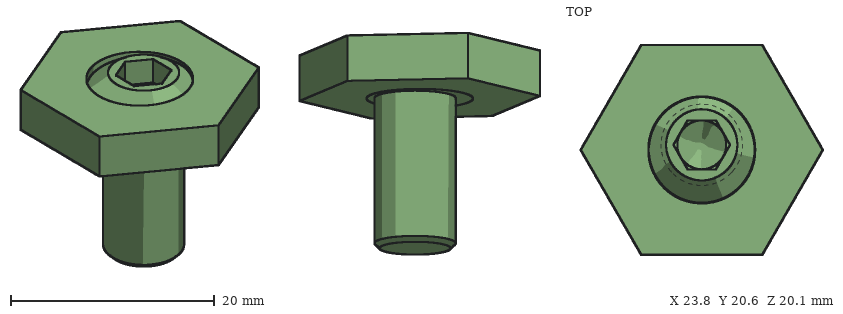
import cadquery as cq
import math

washer_corner_width = 23.8
washer_thickness = 4.55
head_bore_diameter = 10.47

head_clearance = 0.02
shank_offset = 0.5
shank_diameter = 8.0
shank_length = 15.0
tip_chamfer = 0.5
head_rise = 0.5
crown_diameter = 7.0
crown_slope = 35.0

socket_flat_width = 4.8
socket_depth = 2.67
drill_point_angle = 120.0

head_diameter = head_bore_diameter - 2 * head_clearance
head_top = washer_thickness + head_rise
socket_floor = head_top - socket_depth
socket_corner_width = socket_flat_width / math.cos(math.pi / 6)


def make_washer():
    """Hexagonal plate with a through bore for the screw head."""
    return (
        cq.Workplane("XY")
        .polygon(6, washer_corner_width)
        .circle(head_bore_diameter / 2)
        .extrude(washer_thickness)
    )


def make_head():
    """Eccentric cylinder whose sloping top is a cone on the shank axis."""
    cylinder = cq.Workplane("XY").circle(head_diameter / 2).extrude(head_top)
    crown_radius = crown_diameter / 2
    cone_radius = head_diameter / 2 + shank_offset + head_clearance
    cone_drop = (cone_radius - crown_radius) * math.tan(math.radians(crown_slope))
    envelope = (
        cq.Workplane("XZ", origin=(0, shank_offset, 0))
        .moveTo(0, 0)
        .lineTo(cone_radius, 0)
        .lineTo(cone_radius, head_top - cone_drop)
        .lineTo(crown_radius, head_top)
        .lineTo(0, head_top)
        .close()
        .revolve(360, (0, 0), (0, 1))
    )
    return cylinder.intersect(envelope)


def make_shank():
    """Round shank below the head, chamfered at its tip."""
    return (
        cq.Workplane("XY", origin=(0, shank_offset, 0))
        .circle(shank_diameter / 2)
        .extrude(-shank_length)
        .faces("<Z")
        .chamfer(tip_chamfer)
    )


def make_socket():
    """Volume of the hexagonal socket and its conical floor."""
    hexagon = (
        cq.Workplane("XY", origin=(0, shank_offset, socket_floor))
        .polygon(6, socket_corner_width)
        .extrude(socket_depth)
    )
    point_radius = socket_flat_width / 2
    point_depth = point_radius / math.tan(math.radians(drill_point_angle / 2))
    drill_point = cq.Workplane(
        cq.Solid.makeCone(
            0,
            point_radius,
            point_depth,
            pnt=cq.Vector(0, shank_offset, socket_floor - point_depth),
        )
    )
    return hexagon.union(drill_point)


def make_cam_screw():
    """Complete screw: head, shank and drive socket."""
    return make_head().union(make_shank()).cut(make_socket())


washer = make_washer()
cam_screw = make_cam_screw()
result = cq.Compound.makeCompound([washer.val(), *cam_screw.vals()])